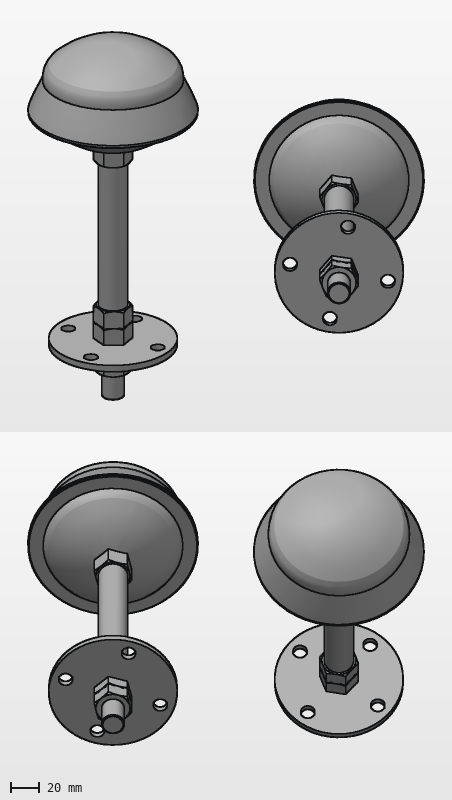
import cadquery as cq
import math

total_height = 275.0

stud_radius = 8.0
stud_chamfer = 0.8
tube_radius = 10.5

nut_across_flats = 24.0
nut_chamfer_height = 1.0
nut_turn = -1.5
nut_height = 13.2

plate_radius = 45.0
plate_thickness = 5.0
plate_bottom = 40.0
plate_top = plate_bottom + plate_thickness
hole_radius = 5.0
hole_circle_radius = 35.0
hole_count = 4

lower_nut_bottom = 20.0
lower_nut_top = 31.0
tube_nut_bottom = 57.5

cap_radius = 45.5
upper_cap_height = 17.5
lower_cap_height = 18.2
shoulder_radius = 49.5
shoulder_height = 10.7
collar_height = 1.7
skirt_radius = 59.7
skirt_bottom = 219.8
rim_height = 2.5
rim_round = 0.8
skirt_bulge = 0.5

upper_cap_edge = total_height - upper_cap_height
upper_shoulder = upper_cap_edge - shoulder_height
skirt_top = upper_shoulder - collar_height
rim_top = skirt_bottom + rim_height
lower_cap_edge = 213.2
lower_shoulder = lower_cap_edge + shoulder_height
head_bottom = lower_cap_edge - lower_cap_height
head_nut_top = 195.5
head_nut_overlap = 1.5
head_nut_bottom = head_nut_top - nut_height


def cylinder(radius, bottom, top):
    """Upright cylinder on the Z axis."""
    return cq.Workplane("XY").workplane(offset=bottom).circle(radius).extrude(top - bottom)


def nut(bottom, top, chamfer_bottom=False, chamfer_top=False):
    """Hexagonal nut whose corners point along Y, optionally chamfered at its ends."""
    corner_diameter = nut_across_flats / math.cos(math.pi / 6)
    hexagon = (
        cq.Workplane("XY")
        .workplane(offset=bottom)
        .polygon(6, corner_diameter)
        .extrude(top - bottom)
        .rotate((0, 0, 0), (0, 0, 1), 90 + nut_turn)
    )
    envelope = cylinder(corner_diameter / 2, bottom, top)
    corner_inset = (corner_diameter - nut_across_flats) / 2
    if chamfer_bottom:
        envelope = envelope.faces("<Z").chamfer(nut_chamfer_height, corner_inset)
    if chamfer_top:
        envelope = envelope.faces(">Z").chamfer(nut_chamfer_height, corner_inset)
    return hexagon.intersect(envelope)


def cap_point(apex, edge):
    """Point halfway along the spherical arc from the axis at apex to the cap edge."""
    height = abs(apex - edge)
    sphere_radius = (cap_radius**2 + height**2) / (2 * height)
    half_angle = math.asin(cap_radius / sphere_radius) / 2
    drop = sphere_radius * (1 - math.cos(half_angle))
    return (sphere_radius * math.sin(half_angle), apex + math.copysign(drop, edge - apex))


def shoulder_point(equator, height):
    """Point at a height on the shoulder arc, which is vertical at its equator."""
    inset = shoulder_radius - cap_radius
    arc_radius = (inset**2 + shoulder_height**2) / (2 * inset)
    reach = math.sqrt(arc_radius**2 - (height - equator) ** 2)
    return (shoulder_radius - arc_radius + reach, height)


def head():
    skirt_middle = (
        (shoulder_radius + skirt_radius) / 2 + skirt_bulge,
        (skirt_top + rim_top) / 2,
    )
    profile = (
        cq.Workplane("XZ")
        .moveTo(0, total_height)
        .threePointArc(cap_point(total_height, upper_cap_edge), (cap_radius, upper_cap_edge))
        .threePointArc(
            shoulder_point(upper_shoulder, (upper_cap_edge + upper_shoulder) / 2),
            (shoulder_radius, upper_shoulder),
        )
        .lineTo(shoulder_radius, skirt_top)
        .threePointArc(skirt_middle, (skirt_radius, rim_top))
        .lineTo(skirt_radius, skirt_bottom + rim_round)
        .lineTo(skirt_radius - rim_round, skirt_bottom)
        .lineTo(*shoulder_point(lower_shoulder, skirt_bottom))
        .threePointArc(
            shoulder_point(lower_shoulder, (lower_cap_edge + skirt_bottom) / 2),
            (cap_radius, lower_cap_edge),
        )
        .threePointArc(cap_point(head_bottom, lower_cap_edge), (0, head_bottom))
        .close()
    )
    return profile.revolve(360, (0, 0, 0), (0, 1, 0))


def stem():
    stud = cylinder(stud_radius, 0, tube_nut_bottom).faces("<Z").chamfer(stud_chamfer)
    return stud.union(cylinder(tube_radius, tube_nut_bottom, head_nut_top))


def mounting_plate():
    holes = (
        cq.Workplane("XY")
        .workplane(offset=plate_bottom)
        .polarArray(hole_circle_radius, 0, 360, hole_count)
        .circle(hole_radius)
        .extrude(plate_thickness)
    )
    return cylinder(plate_radius, plate_bottom, plate_top).cut(holes)


nuts = (
    nut(lower_nut_bottom, lower_nut_top, chamfer_bottom=True),
    nut(lower_nut_top, plate_bottom, chamfer_bottom=True),
    nut(plate_top, tube_nut_bottom, chamfer_top=True),
    nut(tube_nut_bottom, tube_nut_bottom + nut_height, chamfer_top=True),
    nut(head_nut_bottom, head_nut_top + head_nut_overlap, chamfer_bottom=True),
)

result = stem().union(mounting_plate()).union(head())
for stem_nut in nuts:
    result = result.union(stem_nut)